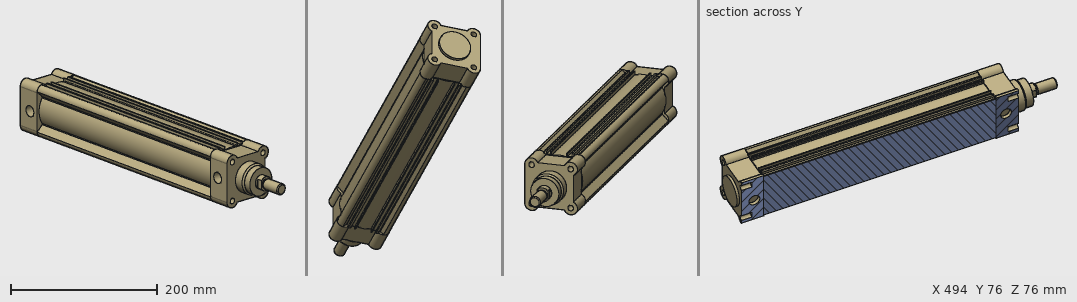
import cadquery as cq
import math


size = 76.0
half = size / 2
bolt_pitch = 56.5
bolt_offset = bolt_pitch / 2
lobe_radius = half - bolt_offset

overall_length = 494.0
rear_spigot_length = 4.0
cap_length = 34.0
tube_length = 352.5
tube_start = rear_spigot_length + cap_length
tube_end = tube_start + tube_length
front_face = tube_end + cap_length

cap_flat = 32.0
spigot_diameter = 45.0
spigot_length = 16.0
spigot_chamfer = 2.5
nose_diameter = 40.5
nose_length = 11.0
bolt_hole_diameter = 8.0
bolt_hole_depth = 16.0
port_diameter = 16.0
port_depth = 15.0
port_shift = 2.5
rear_port_x = 23.5
front_port_x = 405.5

tube_half = 37.5
barrel_radius = 34.0
flank_start = 29.0
flank_foot = 28.5
slot_floor = 33.5
slot_outer = 24.0
tab_inner = 18.5
tab_outer = 21.0
rib_inner = 11.0
rib_outer = 12.5

rod_diameter = 20.5
flat_width = 16.0
flat_length = 7.5
thread_diameter = 16.0
thread_length = 32.0
thread_chamfer = 1.5
neck_diameter = 14.0
neck_length = 1.5
nose_end = front_face + spigot_length + nose_length
thread_start = overall_length - thread_length


def section_plane(x):
    """Plane across the axis: local x is Y, local y is Z, and extrusion runs along +X."""
    return cq.Workplane("YZ", origin=(x, 0, 0))


def disc(x, diameter, length):
    return section_plane(x).circle(diameter / 2).extrude(length)


def bolt_points():
    return [(y, z) for y in (-bolt_offset, bolt_offset) for z in (-bolt_offset, bolt_offset)]


def cap_block(x):
    """Block with four round corner lobes; only its -Y side is flush with the lobes."""
    core = section_plane(x).rect(2 * cap_flat, 2 * cap_flat).extrude(cap_length)
    lobes = section_plane(x).pushPoints(bolt_points()).circle(lobe_radius).extrude(cap_length)
    port_side = (
        section_plane(x)
        .center(-(half + bolt_offset) / 2, 0)
        .rect(lobe_radius, bolt_pitch)
        .extrude(cap_length)
    )
    return core.union(lobes).union(port_side)


def bolt_holes(x, depth):
    return section_plane(x).pushPoints(bolt_points()).circle(bolt_hole_diameter / 2).extrude(depth)


def port(x, z):
    """Blind port bored into the -Y side."""
    return (
        cq.Workplane("XZ", origin=(x, -half, z))
        .circle(port_diameter / 2)
        .extrude(-port_depth)
    )


def make_rear_cap():
    spigot = disc(0, spigot_diameter, rear_spigot_length)
    return (
        cap_block(rear_spigot_length)
        .union(spigot)
        .cut(bolt_holes(rear_spigot_length, bolt_hole_depth))
        .cut(port(rear_port_x, -port_shift))
    )


def make_front_cap():
    spigot = disc(front_face, spigot_diameter, spigot_length).faces(">X").chamfer(spigot_chamfer)
    nose = disc(front_face + spigot_length, nose_diameter, nose_length)
    return (
        cap_block(tube_end)
        .union(spigot)
        .union(nose)
        .cut(bolt_holes(front_face, -bolt_hole_depth))
        .cut(port(front_port_x, port_shift))
        .cut(disc(tube_end, rod_diameter, nose_end - tube_end))
    )


def tube_corner(y_side, z_side):
    """Lobe rounded on the outside, with 45 degree flanks running in to a small step at the barrel."""
    arc_middle = flank_start + (tube_half - flank_start) * math.sqrt(0.5)
    flank_end = flank_start - (tube_half - flank_foot)
    return (
        section_plane(tube_start)
        .moveTo(0, z_side * flank_foot)
        .lineTo(y_side * flank_end, z_side * flank_foot)
        .lineTo(y_side * flank_start, z_side * tube_half)
        .threePointArc(
            (y_side * arc_middle, z_side * arc_middle),
            (y_side * tube_half, z_side * flank_start),
        )
        .lineTo(y_side * flank_foot, z_side * flank_end)
        .lineTo(y_side * flank_foot, 0)
        .lineTo(0, 0)
        .close()
        .extrude(tube_length)
    )


def tube_strip(y_inner, y_outer, z_side, height):
    """Bar along the tube, standing from the axis plane up to the given height."""
    return (
        section_plane(tube_start)
        .center((y_inner + y_outer) / 2, z_side * height / 2)
        .rect(abs(y_outer - y_inner), height)
        .extrude(tube_length)
    )


def make_tube():
    tube = disc(tube_start, 2 * barrel_radius, tube_length)
    for y_side in (-1, 1):
        for z_side in (-1, 1):
            tube = (
                tube.union(tube_corner(y_side, z_side))
                .union(tube_strip(y_side * rib_inner, y_side * rib_outer, z_side, tube_half))
                .union(tube_strip(y_side * rib_inner, y_side * slot_outer, z_side, slot_floor))
                .union(tube_strip(y_side * tab_inner, y_side * tab_outer, z_side, tube_half))
            )
    return tube


def make_rod():
    flat_start = thread_start - flat_length
    flats = (
        section_plane(flat_start)
        .rect(flat_width, rod_diameter)
        .extrude(flat_length)
        .intersect(disc(flat_start, rod_diameter, flat_length))
    )
    shank = disc(tube_end, rod_diameter, flat_start - tube_end).union(flats)
    neck = disc(thread_start, neck_diameter, neck_length)
    thread = (
        disc(thread_start + neck_length, thread_diameter, thread_length - neck_length)
        .faces("<X or >X")
        .chamfer(thread_chamfer)
    )
    return shank.union(neck).union(thread)


rear_cap = make_rear_cap()
tube = make_tube()
front_cap = make_front_cap()
rod = make_rod()

result = cq.Compound.makeCompound([rear_cap.val(), tube.val(), front_cap.val(), rod.val()])